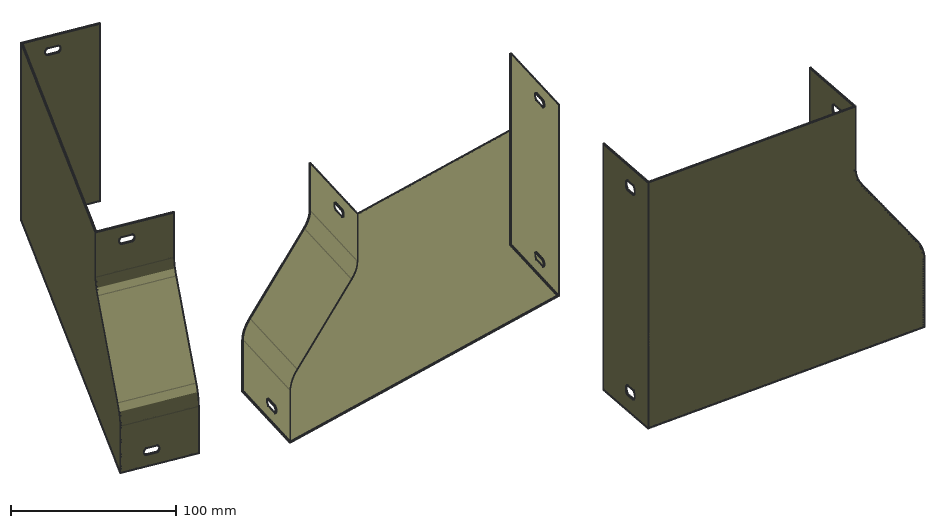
import cadquery as cq

length = 200.0
depth = 50.0
height = 180.0
sheet = 0.8

top_length = 150.0
slope_bottom = 57.2
slope_top = 127.5
inside_bend_radius = 23.0
outside_bend_radius = 29.0

slot_length = 10.0
slot_width = 7.0
slot_from_front = 20.0
slot_from_end = 15.0


def outline_block():
    """Solid block with the full outline, plate lying in the XZ plane."""
    block = (
        cq.Workplane("XZ")
        .moveTo(0, 0)
        .lineTo(length, 0)
        .lineTo(length, slope_bottom)
        .lineTo(top_length, slope_top)
        .lineTo(top_length, height)
        .lineTo(0, height)
        .close()
        .extrude(-depth)
    )
    block = round_bend(block, length, slope_bottom, outside_bend_radius)
    return round_bend(block, top_length, slope_top, inside_bend_radius)


def round_bend(block, x, z, radius):
    """Round the edge along Y that passes through (x, z)."""
    bend_edge = cq.selectors.NearestToPointSelector((x, depth / 2, z))
    return block.edges(bend_edge).fillet(radius)


def slot_cutter(z):
    """Round hole with flats above and below, running along X through both flanges."""
    plane = cq.Workplane("YZ").center(slot_from_front, z)
    round_hole = plane.circle(slot_length / 2).extrude(length)
    flats = plane.rect(slot_length, slot_width).extrude(length)
    return round_hole.intersect(flats)


result = outline_block().faces(">Y or >Z or <Z").shell(-sheet)

for slot_z in (slot_from_end, height - slot_from_end):
    result = result.cut(slot_cutter(slot_z))